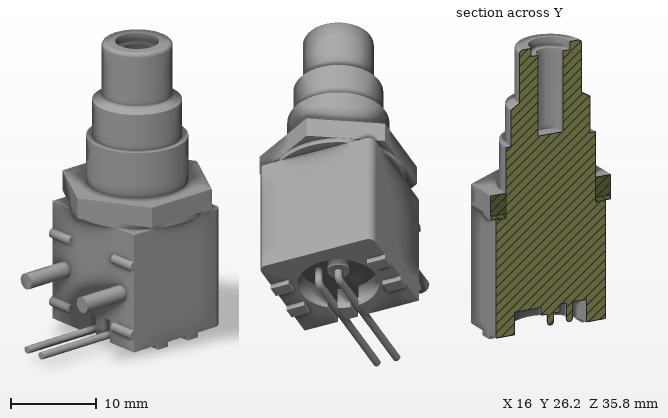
import cadquery as cq
import math


TOTAL_HEIGHT = 35.8
FOOT_HEIGHT = 0.6
BOX_TOP = 15.32
WASHER_THICKNESS = 0.57
NUT_THICKNESS = 2.5
NECK_TOP = 24.05
COLLAR_TOP = 28.57
CONE_TOP = 29.25

NECK_RADIUS = 5.98
COLLAR_RADIUS = 5.25
TIP_RADIUS = 4.15
TIP_FILLET = 0.5
RECESS_RADIUS = 2.58
RECESS_DEPTH = 1.0
SOCKET_RADIUS = 1.65
SOCKET_DEPTH = 10.02

BOX_WIDTH = 14.6
BOX_FRONT = -6.8
BOX_BACK = 6.7
BACK_ARC_RADIUS = 1.15
BACK_ARC_LENGTH = 1.0
BACK_ARC_ANGLE = math.asin(BACK_ARC_LENGTH / BACK_ARC_RADIUS)

FOOT_WIDTH = 2.3
FOOT_LENGTH = 1.58
FOOT_CENTER_Y = 2.3

RIB_LENGTH = 3.5
RIB_HALF_HEIGHT = 0.6
RIB_DEPTH = 0.55
RIB_CENTER_HEIGHTS = (2.75, 11.3)

PEG_RADIUS = 0.95
PEG_X = 5.0
PEG_Z = 7.4
PEG_END = -12.8

CAVITY_RADIUS = 4.75
SLOT_WIDTH = 1.0
SLOT_TOP = 3.4
SIGNAL_X = 0.0
GROUND_X = 2.5
CONTACT_DIAMETER = 0.9
CONTACT_BEND_RADIUS = 0.5
CONTACT_Z = 1.35
CONTACT_END = -17.0
HUB_RADIUS = 1.3
HUB_BOTTOM = 2.45

WASHER_RADIUS = 8.0
NUT_ACROSS_FLATS = 16.0
NUT_ACROSS_CORNERS = NUT_ACROSS_FLATS / math.cos(math.radians(30))
NUT_BOTTOM = BOX_TOP + WASHER_THICKNESS


def cylinder_up(x, radius, bottom, top):
    """Vertical cylinder at (x, 0) between two heights."""
    return cq.Workplane("XY", origin=(x, 0, bottom)).circle(radius).extrude(top - bottom)


def back_arc_point(angle):
    """Point on the +X back corner arc, at an angle from its tangent point on the side face."""
    x = BOX_WIDTH / 2 - BACK_ARC_RADIUS * (1 - math.cos(angle))
    y = BOX_BACK - BACK_ARC_LENGTH + BACK_ARC_RADIUS * math.sin(angle)
    return x, y


def box_block():
    """Box with arcs at its back corners, tangent to the sides and meeting the back at an angle."""
    side_x = BOX_WIDTH / 2
    middle_x, middle_y = back_arc_point(BACK_ARC_ANGLE / 2)
    end_x, end_y = back_arc_point(BACK_ARC_ANGLE)
    outline = (
        cq.Workplane("XY", origin=(0, 0, FOOT_HEIGHT))
        .moveTo(-side_x, BOX_FRONT)
        .lineTo(side_x, BOX_FRONT)
        .lineTo(*back_arc_point(0))
        .threePointArc((middle_x, middle_y), (end_x, end_y))
        .lineTo(-end_x, end_y)
        .threePointArc((-middle_x, middle_y), (-side_x, BOX_BACK - BACK_ARC_LENGTH))
        .close()
    )
    return outline.extrude(BOX_TOP - FOOT_HEIGHT)


def barrel():
    """Stepped barrel on top of the box, with a rounded tip and a recessed socket."""
    profile = [
        (0, BOX_TOP),
        (NECK_RADIUS, BOX_TOP),
        (NECK_RADIUS, NECK_TOP),
        (COLLAR_RADIUS, NECK_TOP),
        (COLLAR_RADIUS, COLLAR_TOP),
        (TIP_RADIUS, CONE_TOP),
        (TIP_RADIUS, TOTAL_HEIGHT),
        (0, TOTAL_HEIGHT),
    ]
    body = cq.Workplane("XZ").polyline(profile).close().revolve(360, (0, 0), (0, 1))
    body = body.faces(">Z").edges().fillet(TIP_FILLET)
    recess_floor = TOTAL_HEIGHT - RECESS_DEPTH
    recess = cylinder_up(0, RECESS_RADIUS, recess_floor, TOTAL_HEIGHT)
    socket = cylinder_up(0, SOCKET_RADIUS, recess_floor - SOCKET_DEPTH, recess_floor)
    return body.cut(recess).cut(socket)


def contact_cavity():
    """Round cavity open at the underside of the box, with a slot to the front for each contact."""
    cavity = cylinder_up(0, CAVITY_RADIUS, FOOT_HEIGHT, SLOT_TOP)
    for x in (SIGNAL_X, GROUND_X):
        slot = cq.Workplane("XY", origin=(x, BOX_FRONT / 2, FOOT_HEIGHT)).box(
            SLOT_WIDTH, -BOX_FRONT, SLOT_TOP - FOOT_HEIGHT, centered=(True, True, False)
        )
        cavity = cavity.union(slot)
    return cavity


def bent_contact(x):
    """Round contact that drops from the cavity ceiling and bends forward out of its slot."""
    bend_side = CONTACT_BEND_RADIUS * math.sin(math.radians(45))
    bend_top = CONTACT_Z + CONTACT_BEND_RADIUS
    path = (
        cq.Workplane("YZ", origin=(x, 0, 0))
        .moveTo(0, SLOT_TOP)
        .lineTo(0, bend_top)
        .threePointArc(
            (bend_side - CONTACT_BEND_RADIUS, bend_top - bend_side),
            (-CONTACT_BEND_RADIUS, CONTACT_Z),
        )
        .lineTo(CONTACT_END, CONTACT_Z)
    )
    return cq.Workplane("XY", origin=(x, 0, SLOT_TOP)).circle(CONTACT_DIAMETER / 2).sweep(path)


def peg(x):
    """Mounting peg standing on the front face."""
    return cq.Workplane("XZ", origin=(x, BOX_FRONT, PEG_Z)).circle(PEG_RADIUS).extrude(BOX_FRONT - PEG_END)


def rib(side, z):
    """Rib of rounded section on the front face, from the side edge inward."""
    start_x = min(side * BOX_WIDTH / 2, side * (BOX_WIDTH / 2 - RIB_LENGTH))
    return (
        cq.Workplane("YZ", origin=(start_x, BOX_FRONT, z))
        .moveTo(0, RIB_HALF_HEIGHT)
        .threePointArc((-RIB_DEPTH, 0), (0, -RIB_HALF_HEIGHT))
        .close()
        .extrude(RIB_LENGTH)
    )


def foot(side, y):
    """Flat foot under the box, flush with its side."""
    center_x = side * (BOX_WIDTH - FOOT_WIDTH) / 2
    return cq.Workplane("XY", origin=(center_x, y, 0)).rect(FOOT_WIDTH, FOOT_LENGTH).extrude(FOOT_HEIGHT)


def make_connector():
    """Box, barrel, contacts, pegs, ribs and feet as one solid."""
    body = box_block().union(barrel()).cut(contact_cavity())
    body = body.union(cylinder_up(SIGNAL_X, HUB_RADIUS, HUB_BOTTOM, SLOT_TOP))
    for x in (SIGNAL_X, GROUND_X):
        body = body.union(bent_contact(x))
    for side in (-1, 1):
        body = body.union(peg(side * PEG_X))
        for z in RIB_CENTER_HEIGHTS:
            body = body.union(rib(side, z))
        for y in (-FOOT_CENTER_Y, FOOT_CENTER_Y):
            body = body.union(foot(side, y))
    return body


def make_washer():
    """Flat washer around the neck, resting on the box."""
    blank = cq.Workplane("XY", origin=(0, 0, BOX_TOP)).circle(WASHER_RADIUS).circle(NECK_RADIUS)
    return blank.extrude(WASHER_THICKNESS)


def make_nut():
    """Hex nut around the neck, resting on the washer, with corners toward +Y and -Y."""
    hexagon = cq.Workplane("XY").polygon(6, NUT_ACROSS_CORNERS).extrude(NUT_THICKNESS)
    hexagon = hexagon.rotate((0, 0, 0), (0, 0, 1), 30).translate((0, 0, NUT_BOTTOM))
    return hexagon.cut(cylinder_up(0, NECK_RADIUS, NUT_BOTTOM, NUT_BOTTOM + NUT_THICKNESS))


connector = make_connector()
washer = make_washer()
nut = make_nut()

result = cq.Compound.makeCompound([connector.solids().val(), washer.solids().val(), nut.solids().val()])